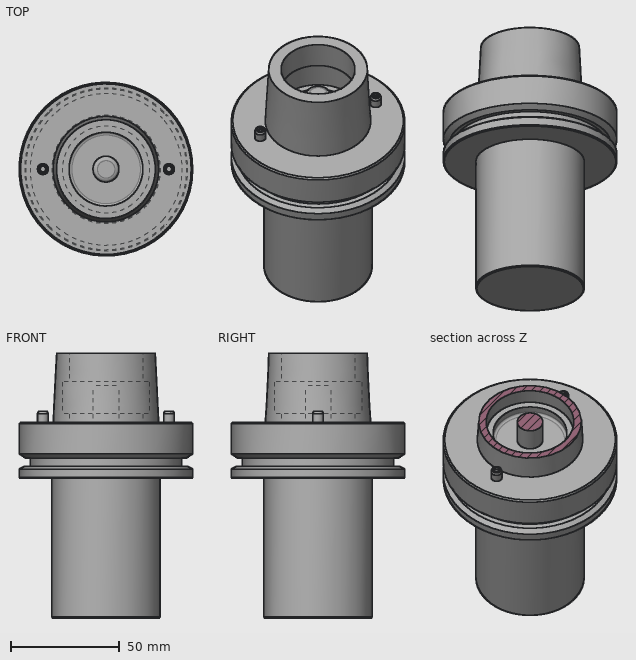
import cadquery as cq

total_height = 121.9
flange_top = 90.1
flange_bottom = 64.2

shank_radius = 50.0 / 2
shank_chamfer = 0.5

flange_radius = 80.0 / 2
flange_top_chamfer = 0.7
flange_bottom_chamfer = 0.5
groove_radius = 70.0 / 2
groove_top = 73.6
groove_bottom = 70.0
upper_bevel_width = 2.9
upper_bevel_height = 2.0
lower_bevel_width = 2.4
lower_bevel_height = 1.5

taper_base_radius = 48.6 / 2
taper_top_radius = 45.5 / 2

bore_radius = 34.0 / 2
undercut_depth = 12.9
undercut_radius = 40.1 / 2
undercut_height = 14.6
bore_floor = flange_top
bore_floor_fillet = 1.2

boss_radius = 12.0 / 2
boss_top = total_height - 14.7
boss_fillet = 2.0

pin_offset = 29.0
pin_radius = 5.0 / 2
pin_height = 5.1
pin_chamfer_width = 0.5
pin_chamfer_height = 1.2
pin_socket_across_corners = 2.9
pin_socket_depth = 1.2


def upright_cylinder(radius, bottom, top):
    return cq.Workplane("XY").workplane(offset=bottom).circle(radius).extrude(top - bottom)


def make_body():
    """Shank, grooved flange and tapered nose as one revolved half profile."""
    profile = [
        (0, 0),
        (shank_radius - shank_chamfer, 0),
        (shank_radius, shank_chamfer),
        (shank_radius, flange_bottom),
        (flange_radius - flange_bottom_chamfer, flange_bottom),
        (flange_radius, flange_bottom + flange_bottom_chamfer),
        (flange_radius, groove_bottom - lower_bevel_height),
        (flange_radius - lower_bevel_width, groove_bottom),
        (groove_radius, groove_bottom),
        (groove_radius, groove_top),
        (flange_radius - upper_bevel_width, groove_top),
        (flange_radius, groove_top + upper_bevel_height),
        (flange_radius, flange_top - flange_top_chamfer),
        (flange_radius - flange_top_chamfer, flange_top),
        (taper_base_radius, flange_top),
        (taper_top_radius, total_height),
        (0, total_height),
    ]
    return cq.Workplane("XZ").polyline(profile).close().revolve(360, (0, 0), (0, 1))


def make_bore():
    undercut_top = total_height - undercut_depth
    bore = upright_cylinder(bore_radius, bore_floor, total_height)
    bore = bore.faces("<Z").edges().fillet(bore_floor_fillet)
    return bore.union(upright_cylinder(undercut_radius, undercut_top - undercut_height, undercut_top))


def make_boss():
    boss = upright_cylinder(boss_radius, flange_bottom, boss_top)
    return boss.faces(">Z").edges().fillet(boss_fillet)


def make_pin(x):
    pin_top = flange_top + pin_height
    pin = upright_cylinder(pin_radius, groove_top, pin_top)
    pin = pin.faces(">Z").edges().chamfer(pin_chamfer_height, pin_chamfer_width)
    socket_floor = cq.Workplane("XY").workplane(offset=pin_top - pin_socket_depth)
    socket = socket_floor.polygon(6, pin_socket_across_corners).extrude(pin_socket_depth)
    return pin.cut(socket).translate((x, 0, 0))


result = make_body().cut(make_bore()).union(make_boss())
for side in (-1, 1):
    result = result.union(make_pin(side * pin_offset))